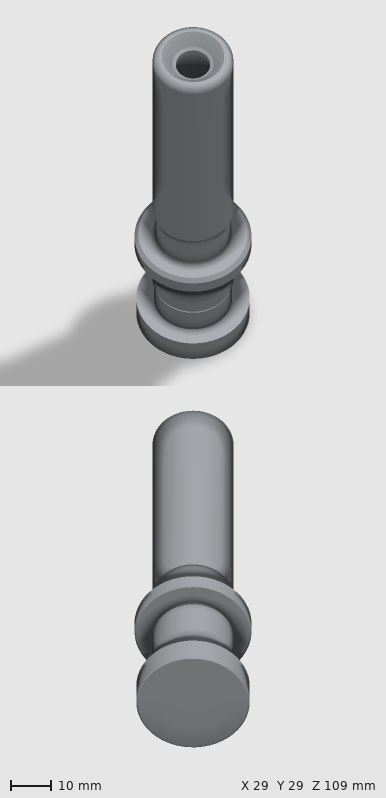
import cadquery as cq
import math

guide_radius = 10.0
neck_radius = 9.4
collar_radius = 14.5
foot_radius = 14.1
spigot_radius = 9.7

overall_height = 109.0
foot_top = 7.0
pin_bottom = 14.0
seat_top = 27.6
collar_bottom = 29.1
collar_top = 34.0
guide_bottom = 44.4

foot_chamfer = 0.4
lead_in_chamfer = 1.2
seat_chamfer = 0.2
collar_bottom_chamfer = 0.4
collar_top_chamfer = 1.0
neck_fillet = 1.0
guide_bottom_chamfer = 0.3
guide_top_fillet = 2.0

mouth_radius = 7.7
countersink_radius = 7.0
countersink_depth = 0.8
cone_end_radius = 5.1
cone_end_depth = 2.7
bore_radius = 4.3
bore_start_depth = 3.3
bore_depth = 19.6
drill_tip_angle = 118.0


def revolve_about_z(profile):
    """Turn a closed (radius, height) profile into a solid about the Z axis."""
    return profile.close().revolve(360, (0, 0, 0), (0, 1, 0))


def cylinder(radius, bottom, top):
    return cq.Workplane("XY").workplane(offset=bottom).circle(radius).extrude(top - bottom)


def make_foot():
    """Flanged foot whose spigot meets the lower end of the pin."""
    flange = cylinder(foot_radius, 0, foot_top).faces("<Z").edges().chamfer(foot_chamfer)
    return flange.union(cylinder(spigot_radius, foot_top, pin_bottom))


def make_pin_blank():
    """Turned outside of the pin: seat, relief groove, collar, neck and guide."""
    quarter = math.sqrt(0.5)
    neck_arc_mid = (
        neck_radius + neck_fillet * (1 - quarter),
        collar_top + neck_fillet * (1 - quarter),
    )
    top_arc_mid = (
        guide_radius - guide_top_fillet * (1 - quarter),
        overall_height - guide_top_fillet * (1 - quarter),
    )
    profile = (
        cq.Workplane("XZ")
        .moveTo(0, pin_bottom)
        .lineTo(guide_radius - lead_in_chamfer, pin_bottom)
        .lineTo(guide_radius, pin_bottom + lead_in_chamfer)
        .lineTo(guide_radius, seat_top - seat_chamfer)
        .lineTo(guide_radius - seat_chamfer, seat_top)
        .lineTo(neck_radius, seat_top)
        .lineTo(neck_radius, collar_bottom)
        .lineTo(collar_radius - collar_bottom_chamfer, collar_bottom)
        .lineTo(collar_radius, collar_bottom + collar_bottom_chamfer)
        .lineTo(collar_radius, collar_top - collar_top_chamfer)
        .lineTo(collar_radius - collar_top_chamfer, collar_top)
        .lineTo(neck_radius + neck_fillet, collar_top)
        .threePointArc(neck_arc_mid, (neck_radius, collar_top + neck_fillet))
        .lineTo(neck_radius, guide_bottom)
        .lineTo(guide_radius - guide_bottom_chamfer, guide_bottom)
        .lineTo(guide_radius, guide_bottom + guide_bottom_chamfer)
        .lineTo(guide_radius, overall_height - guide_top_fillet)
        .threePointArc(top_arc_mid, (guide_radius - guide_top_fillet, overall_height))
        .lineTo(0, overall_height)
    )
    return revolve_about_z(profile)


def make_centre_hole():
    """Countersink, cone and blind bore with a drill tip."""
    tip_length = bore_radius / math.tan(math.radians(drill_tip_angle / 2))
    profile = (
        cq.Workplane("XZ")
        .moveTo(0, overall_height)
        .lineTo(mouth_radius, overall_height)
        .lineTo(countersink_radius, overall_height - countersink_depth)
        .lineTo(cone_end_radius, overall_height - cone_end_depth)
        .lineTo(bore_radius, overall_height - bore_start_depth)
        .lineTo(bore_radius, overall_height - bore_depth)
        .lineTo(0, overall_height - bore_depth - tip_length)
    )
    return revolve_about_z(profile)


foot = make_foot()
pin = make_pin_blank().cut(make_centre_hole())

result = cq.Compound.makeCompound([foot.val(), pin.val()])